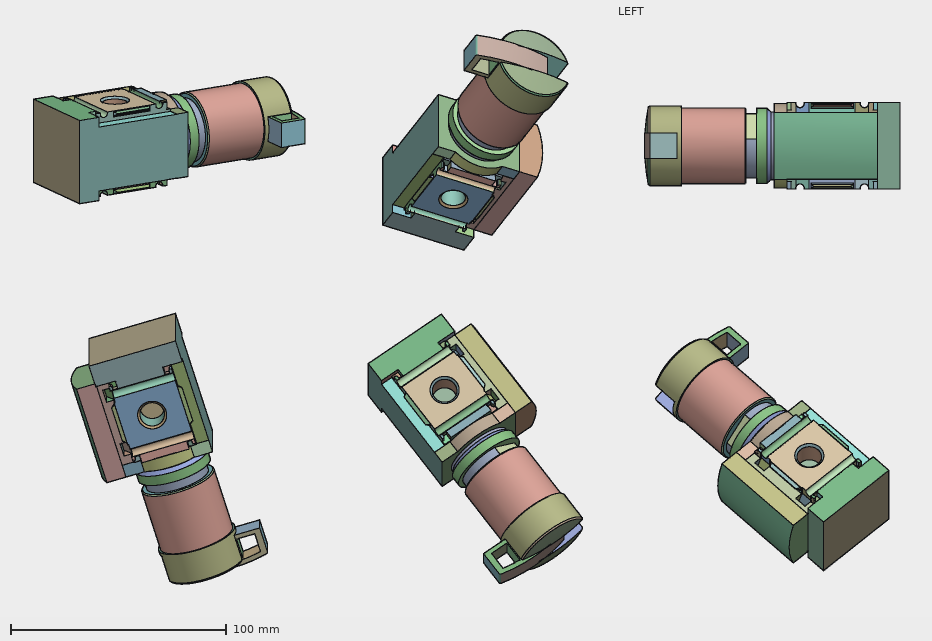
import cadquery as cq
import math

TOTAL_LENGTH = 118.7

HOUSING_HALF_WIDTH = 21.0
HOUSING_HALF_HEIGHT = 40.2 / 2
END_BLOCK_LENGTH = 10.6
HOUSING_BACK = 58.5
SHOULDER_HALF_HEIGHT = 15.4
COLLAR_FRONT = 52.5
COLLAR_RADIUS = 19.7

COVER_HALF_HEIGHT = 15.5
COVER_CORNER_X = -30.3
COVER_CROWN_X = -33.0

PAD_HALF_WIDTH = 15.2
PAD_CENTRE_Y = (END_BLOCK_LENGTH + COLLAR_FRONT) / 2
PORT_DIAMETER = 11.4
PORT_MOUTH_DIAMETER = 13.5
PORT_DEPTH = 11.9
GROOVE_OFFSET = 15.0
GROOVE_RADIUS = 1.9
GROOVE_DEPTH = 2.4

CORNER_INNER_X = 11.5
CORNER_INNER_OFFSET = 17.2
CORNER_FLOOR = 16.6
POST_WIDTH = 1.4
POST_LENGTH = 1.9
POST_CHAMFER = 0.6

LEDGE_OUTER_X = 17.1
LEDGE_ROOT_X = 15.4
LEDGE_ROOT_HALF_LENGTH = 9.9
LEDGE_BEVEL = 1.3
LEDGE_TOP = 19.7
LEDGE_EDGE_TOP = 19.1
LEDGE_EDGE_BOTTOM = 18.9
LEDGE_ROOT_TOP = 17.9
LEDGE_ROOT_BOTTOM = 17.3

POCKET_OUTER_X = -18.9
POCKET_INNER_X = -14.7
POCKET_NEAR_OFFSET = 10.7
POCKET_FAR_OFFSET = GROOVE_OFFSET + GROOVE_RADIUS
POCKET_DEPTH = 8.3

NECK_RADIUS = 31.6 / 2
NECK_END = 60.0
RING_RADIUS = 35.0 / 2
RING_START = 61.8
RING_END = 66.6
STEM_RADIUS = 15.1
STEM_FLAT_DISTANCE = 12.7
STEM_FLAT_ANGLE = -45
BARREL_RADIUS = 35.3 / 2
BARREL_START = 71.5
BARREL_CHAMFER = 0.6
CAP_RADIUS = 37.2 / 2
CAP_START = 101.5
CAP_EDGE = 116.1
DOME_RADIUS = 18.0
DOME_SPHERE_RADIUS = 92.6

SLOT_WIDTH = 11.9
SLOT_FLOOR = 103.6
SLIDE_LEFT = -7.1
SLIDE_RIGHT = 30.0
SLIDE_CROWN_RADIUS = 74.8
SLIDE_CROWN_X = 12.3
SLIDE_CORNER_RADIUS = 1.0
WINDOW_LEFT = 18.2
WINDOW_RIGHT = 27.0
WINDOW_BOTTOM = 105.8
SLIDE_ARCH_THICKNESS = 2.4


def block(x_range, y_range, z_range):
    """Box between the given limits."""
    lows, highs = zip(x_range, y_range, z_range)
    sizes = [high - low for low, high in zip(lows, highs)]
    return cq.Workplane("XY").box(*sizes, centered=False).translate(lows)


def mirrored_x(shape):
    """The shape together with its mirror image across X = 0."""
    return shape.union(shape.mirror("YZ"))


def mirrored_about_pad(shape):
    """The shape together with its mirror image across the pad's middle."""
    return shape.union(shape.mirror("XZ", (0, PAD_CENTRE_Y, 0)))


def housing_core():
    """End block, shouldered middle and the round collar at the knob end."""
    width = (-HOUSING_HALF_WIDTH, HOUSING_HALF_WIDTH)
    end_block = block(width, (0, END_BLOCK_LENGTH), (-HOUSING_HALF_HEIGHT, HOUSING_HALF_HEIGHT))
    middle = block(
        width, (END_BLOCK_LENGTH, COLLAR_FRONT), (-SHOULDER_HALF_HEIGHT, SHOULDER_HALF_HEIGHT)
    )
    back = block(width, (COLLAR_FRONT, HOUSING_BACK), (-COVER_HALF_HEIGHT, COVER_HALF_HEIGHT))
    collar = (
        cq.Workplane("XZ", origin=(0, COLLAR_FRONT, 0))
        .circle(COLLAR_RADIUS)
        .extrude(COLLAR_FRONT - HOUSING_BACK)
    )
    return end_block.union(middle).union(back).union(collar)


def pad_ledges():
    """Ledges on both pad sides, bevelled at their ends."""
    profile = [
        (PAD_HALF_WIDTH, LEDGE_TOP),
        (LEDGE_OUTER_X, LEDGE_EDGE_TOP),
        (LEDGE_OUTER_X, LEDGE_EDGE_BOTTOM),
        (LEDGE_ROOT_X, LEDGE_ROOT_TOP),
        (LEDGE_ROOT_X, LEDGE_ROOT_BOTTOM),
        (PAD_HALF_WIDTH, LEDGE_ROOT_BOTTOM),
    ]
    bar = (
        cq.Workplane("XZ", origin=(0, PAD_CENTRE_Y, 0))
        .polyline(profile)
        .close()
        .extrude(LEDGE_ROOT_HALF_LENGTH, both=True)
    )
    tip_half_length = LEDGE_ROOT_HALF_LENGTH - LEDGE_BEVEL
    outline = [
        (PAD_HALF_WIDTH, -LEDGE_ROOT_HALF_LENGTH),
        (LEDGE_OUTER_X, -tip_half_length),
        (LEDGE_OUTER_X, tip_half_length),
        (PAD_HALF_WIDTH, LEDGE_ROOT_HALF_LENGTH),
    ]
    plan = (
        cq.Workplane("XY", origin=(0, PAD_CENTRE_Y, 0))
        .polyline(outline)
        .close()
        .extrude(HOUSING_HALF_HEIGHT)
    )
    return mirrored_x(bar.intersect(plan))


def top_pad():
    """Raised pad on the top of the housing with its ledges."""
    pad = block(
        (-PAD_HALF_WIDTH, PAD_HALF_WIDTH),
        (END_BLOCK_LENGTH, COLLAR_FRONT),
        (SHOULDER_HALF_HEIGHT, HOUSING_HALF_HEIGHT),
    )
    return pad.union(pad_ledges())


def corner_recesses():
    """Cutters for the four pad corners, each leaving its post."""
    recess_start = PAD_CENTRE_Y + CORNER_INNER_OFFSET
    heights = (CORNER_FLOOR, HOUSING_HALF_HEIGHT)
    recess = block((CORNER_INNER_X, PAD_HALF_WIDTH), (recess_start, COLLAR_FRONT), heights)
    post = (
        block(
            (PAD_HALF_WIDTH - POST_WIDTH, PAD_HALF_WIDTH),
            (recess_start, recess_start + POST_LENGTH),
            heights,
        )
        .edges("|Z and <X and >Y")
        .chamfer(POST_CHAMFER)
    )
    return mirrored_about_pad(mirrored_x(recess.cut(post)))


def pad_grooves():
    """Cutters for the two round-bottomed grooves across the pad."""
    axis_z = HOUSING_HALF_HEIGHT - GROOVE_DEPTH + GROOVE_RADIUS
    groove_y = PAD_CENTRE_Y + GROOVE_OFFSET
    round_part = (
        cq.Workplane("YZ", origin=(-PAD_HALF_WIDTH, groove_y, axis_z))
        .circle(GROOVE_RADIUS)
        .extrude(2 * PAD_HALF_WIDTH)
    )
    mouth = block(
        (-PAD_HALF_WIDTH, PAD_HALF_WIDTH),
        (groove_y - GROOVE_RADIUS, groove_y + GROOVE_RADIUS),
        (axis_z, HOUSING_HALF_HEIGHT),
    )
    return mirrored_about_pad(round_part.union(mouth))


def wedge_pockets():
    """Cutters for the pockets, with floors that rise towards the pad."""
    profile = [
        (POCKET_OUTER_X, HOUSING_HALF_HEIGHT),
        (POCKET_OUTER_X, SHOULDER_HALF_HEIGHT - POCKET_DEPTH),
        (POCKET_INNER_X, SHOULDER_HALF_HEIGHT),
        (POCKET_INNER_X, HOUSING_HALF_HEIGHT),
    ]
    pocket = (
        cq.Workplane("XZ", origin=(0, PAD_CENTRE_Y + POCKET_NEAR_OFFSET, 0))
        .polyline(profile)
        .close()
        .extrude(POCKET_NEAR_OFFSET - POCKET_FAR_OFFSET)
    )
    return mirrored_about_pad(pocket)


def port():
    """Cutter for the blind port with its countersunk mouth."""
    mouth_depth = (PORT_MOUTH_DIAMETER - PORT_DIAMETER) / 2
    profile = [
        (0, HOUSING_HALF_HEIGHT),
        (PORT_MOUTH_DIAMETER / 2, HOUSING_HALF_HEIGHT),
        (PORT_DIAMETER / 2, HOUSING_HALF_HEIGHT - mouth_depth),
        (PORT_DIAMETER / 2, HOUSING_HALF_HEIGHT - PORT_DEPTH),
        (0, HOUSING_HALF_HEIGHT - PORT_DEPTH),
    ]
    return (
        cq.Workplane("XZ", origin=(0, PAD_CENTRE_Y, 0))
        .polyline(profile)
        .close()
        .revolve(360, (0, 0, 0), (0, 1, 0))
    )


def turned_knob():
    """Neck, ring, stem, barrel and domed cap as one turned shape."""
    dome_height = DOME_SPHERE_RADIUS - math.sqrt(DOME_SPHERE_RADIUS**2 - DOME_RADIUS**2)
    return (
        cq.Workplane("XY")
        .moveTo(0, HOUSING_BACK)
        .lineTo(NECK_RADIUS, HOUSING_BACK)
        .lineTo(NECK_RADIUS, NECK_END)
        .lineTo(RING_RADIUS, RING_START)
        .lineTo(RING_RADIUS, RING_END)
        .lineTo(STEM_RADIUS, RING_END)
        .lineTo(STEM_RADIUS, BARREL_START)
        .lineTo(BARREL_RADIUS - BARREL_CHAMFER, BARREL_START)
        .lineTo(BARREL_RADIUS, BARREL_START + BARREL_CHAMFER)
        .lineTo(BARREL_RADIUS, CAP_START)
        .lineTo(CAP_RADIUS, CAP_START)
        .lineTo(CAP_RADIUS, CAP_EDGE)
        .lineTo(DOME_RADIUS, TOTAL_LENGTH - dome_height)
        .radiusArc((0, TOTAL_LENGTH), -DOME_SPHERE_RADIUS)
        .close()
        .revolve(360, (0, 0, 0), (0, 1, 0))
    )


def stem_flat():
    """Cutter for the flat on the stem, facing half way between -X and +Z."""
    flat = block(
        (-CAP_RADIUS, CAP_RADIUS),
        (RING_END, BARREL_START),
        (STEM_FLAT_DISTANCE, CAP_RADIUS),
    )
    return flat.rotate((0, 0, 0), (0, 1, 0), STEM_FLAT_ANGLE)


def cap_slot():
    """Cutter for the slot across the cap."""
    half_width = SLOT_WIDTH / 2
    return block(
        (-CAP_RADIUS, CAP_RADIUS), (SLOT_FLOOR, TOTAL_LENGTH), (-half_width, half_width)
    )


def crown_disc(radius):
    """Disc whose rim gives the slide's crown."""
    centre = (SLIDE_CROWN_X, TOTAL_LENGTH - SLIDE_CROWN_RADIUS, -SLOT_WIDTH / 2)
    return cq.Workplane("XY", origin=centre).circle(radius).extrude(SLOT_WIDTH)


def locking_slide():
    """Crowned locking slide with a window through its outer end."""
    half_width = SLOT_WIDTH / 2
    z_range = (-half_width, half_width)
    body = block((SLIDE_LEFT, SLIDE_RIGHT), (SLOT_FLOOR, TOTAL_LENGTH), z_range)
    body = body.intersect(crown_disc(SLIDE_CROWN_RADIUS))
    body = body.edges("|Z").edges(">X").edges(">Y").fillet(SLIDE_CORNER_RADIUS)
    window = block((WINDOW_LEFT, WINDOW_RIGHT), (WINDOW_BOTTOM, TOTAL_LENGTH), z_range)
    window = window.intersect(crown_disc(SLIDE_CROWN_RADIUS - SLIDE_ARCH_THICKNESS))
    return body.cut(window)


def make_valve():
    """Housing with its pads, slotted knob and locking slide."""
    valve = housing_core()
    pad = top_pad()
    valve = valve.union(pad).union(pad.mirror("XY"))
    for cutter in (corner_recesses(), pad_grooves(), wedge_pockets(), port()):
        valve = valve.cut(cutter).cut(cutter.mirror("XY"))
    knob = turned_knob().cut(stem_flat()).cut(cap_slot())
    return valve.union(knob).union(locking_slide())


def make_cover():
    """Cover on the -X side, bowed outwards."""
    return (
        cq.Workplane("XZ", origin=(0, END_BLOCK_LENGTH, 0))
        .moveTo(-HOUSING_HALF_WIDTH, -COVER_HALF_HEIGHT)
        .lineTo(COVER_CORNER_X, -COVER_HALF_HEIGHT)
        .threePointArc((COVER_CROWN_X, 0), (COVER_CORNER_X, COVER_HALF_HEIGHT))
        .lineTo(-HOUSING_HALF_WIDTH, COVER_HALF_HEIGHT)
        .close()
        .extrude(END_BLOCK_LENGTH - HOUSING_BACK)
    )


valve = make_valve()
cover = make_cover()

result = cq.Compound.makeCompound([valve.val(), cover.val()])